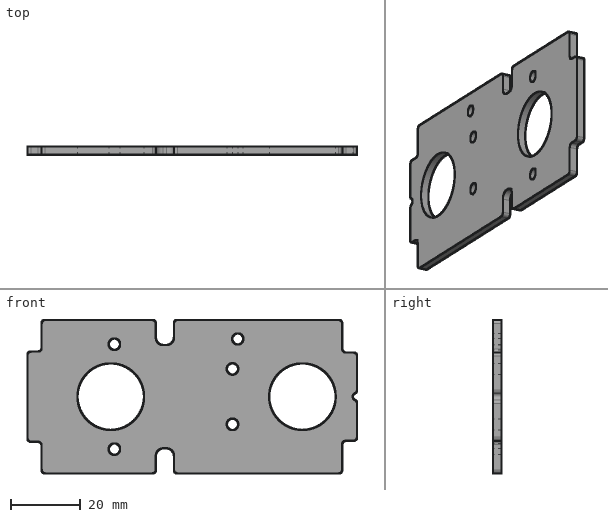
import cadquery as cq

length = 94.5
thickness = 2.5
height = 44.0
corner_radius = 1.0

body_left = -43.2
body_right = 43.0
left_tab_height = 25.9
right_tab_height = 25.3

slot_x = -7.8
slot_width = 5.1
slot_depth = 7.2
slot_floor_radius = 2.1

notch_radius = 1.0
notch_centre_inset = 0.2

large_hole_diameter = 19.0
large_hole_centres = [(-23.3, 0), (31.6, 0)]
small_hole_diameter = 3.2
pair_x, pair_z = -22.3, 15.0
inner_pair_x, inner_pair_z = 11.5, 7.9
small_hole_centres = [
    (pair_x, pair_z),
    (pair_x, -pair_z),
    (inner_pair_x, inner_pair_z),
    (inner_pair_x, -inner_pair_z),
]
single_hole_diameter = 3.1
single_hole_centre = (13.0, 16.5)


def block(x_min, x_max, z_min, z_max):
    """Rectangular block through the plate thickness, centred on Y = 0."""
    size_x = x_max - x_min
    size_z = z_max - z_min
    centre = ((x_min + x_max) / 2, 0, (z_min + z_max) / 2)
    return cq.Workplane("XY").box(size_x, thickness, size_z).translate(centre)


def cylinders(diameter, centres):
    """Round cutters along Y through the plate thickness."""
    sketch = cq.Workplane("XZ").pushPoints(centres)
    return sketch.circle(diameter / 2).extrude(thickness / 2, both=True)


def slot(side):
    """Open slot from the top (side = 1) or bottom (side = -1) edge, with a rounded floor."""
    floor_z = side * (height / 2 - slot_depth)
    edge_z = side * height / 2
    cutter = block(
        slot_x - slot_width / 2,
        slot_x + slot_width / 2,
        min(floor_z, edge_z),
        max(floor_z, edge_z),
    )
    floor_face = "<Z" if side > 0 else ">Z"
    return cutter.faces(floor_face).edges("|Y").fillet(slot_floor_radius)


plate = block(body_left, body_right, -height / 2, height / 2)
plate = plate.union(block(-length / 2, body_left, -left_tab_height / 2, left_tab_height / 2))
plate = plate.union(block(body_right, length / 2, -right_tab_height / 2, right_tab_height / 2))
plate = plate.edges("|Y").fillet(corner_radius)

plate = plate.cut(slot(1)).cut(slot(-1))
slot_mouths = cq.selectors.BoxSelector(
    (slot_x - slot_width, -thickness, -height),
    (slot_x + slot_width, thickness, height),
)
for edge_face in (">Z", "<Z"):
    plate = plate.faces(edge_face).edges("|Y").edges(slot_mouths).fillet(corner_radius)

notch_centre = (length / 2 - notch_centre_inset, 0)
plate = plate.cut(cylinders(2 * notch_radius, [notch_centre]))
notch_mouth = cq.selectors.BoxSelector(
    (length / 2 - notch_radius, -thickness, -2 * notch_radius),
    (length / 2 + notch_radius, thickness, 2 * notch_radius),
)
plate = plate.faces(">X").edges("|Y").edges(notch_mouth).fillet(corner_radius)

plate = plate.cut(cylinders(large_hole_diameter, large_hole_centres))
plate = plate.cut(cylinders(small_hole_diameter, small_hole_centres))
result = plate.cut(cylinders(single_hole_diameter, [single_hole_centre]))